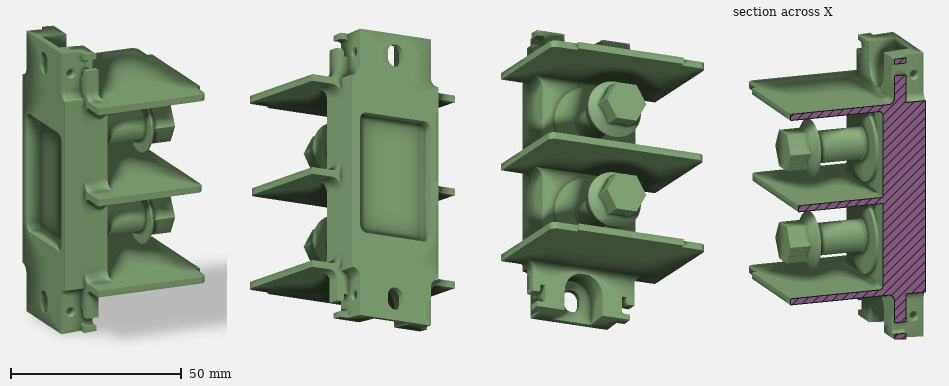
import cadquery as cq
import math


HALF_HEIGHT = 43.1
CENTRE_HALF_WIDTH = 15.1
END_HALF_WIDTH = 12.45
CENTRE_DEPTH = 13.6
END_DEPTH = 10.0
END_DRAFT_DROP = 0.55

PLATE_PITCH = 28.0
PLATE_THICKNESS = 2.0
PLATE_HALF_WIDTH = 25.0
PLATE_FRONT = 6.2
PLATE_SHOULDER = 41.0
PLATE_BACK = 42.5
TONGUE_HALF_WIDTH = 17.0
MIDDLE_PLATE_BACK = 40.0
PLATE_CORNER_RADIUS = 2.0
PLATE_HALF = PLATE_THICKNESS / 2
OUTER_PLATE_TOP = PLATE_PITCH + PLATE_HALF
OUTER_PLATE_BOTTOM = PLATE_PITCH - PLATE_HALF

INNER_ROOT_RADIUS = 3.0
OUTER_ROOT_RADIUS = 2.5
BACK_ROOT_RADIUS = 1.6
INNER_BACK_ROOT_RADIUS = 1.0

ARC_MIDDLE_INSET = 1 - math.sqrt(0.5)

HOOK_HALF_WIDTH = 16.5
HOOK_INNER_HALF_WIDTH = 14.0
HOOK_TOP = 38.0
HOOK_FLOOR = 35.75
HOOK_CHAMFER_X = 0.5
HOOK_CHAMFER_Z = 0.8
EAR_HALF_WIDTH = CENTRE_HALF_WIDTH
EAR_BOTTOM = 40.95
EAR_ROOT_RADIUS = 0.9

SLOT_WIDTH = 5.3
SLOT_LENGTH = 6.7
SLOT_Z = 36.6
RECESS_RADIUS = 6.15
RECESS_FLOOR = 2.0
SIDE_HOLE_Y = 3.0
SIDE_HOLE_MOUTH_RADIUS = 1.55
SIDE_HOLE_RADIUS = 0.9
SIDE_HOLE_CONE_DEPTH = 0.65
SIDE_HOLE_DEPTH = 3.0
WINDOW_HALF_WIDTH = 12.4
WINDOW_HALF_HEIGHT = 18.1
WINDOW_CORNER_RADIUS = 2.3
WINDOW_DEPTH = 4.0
WINDOW_FLOOR_RADIUS = 1.0
WINDOW_DRAFT = 5.0

BOLT_Z = 14.0
PAD_RADIUS = 11.5
PAD_BACK = 14.65
COLLAR_RADIUS = 5.0
COLLAR_BACK = 15.4
SHANK_RADIUS = 4.8
FLANGE_FRONT = 30.6
FLANGE_RIM_BACK = 31.2
FLANGE_RADIUS = 8.5
CONE_BACK = 33.4
HEAD_BACK = 39.35
HEAD_ACROSS_FLATS = 11.0
HEAD_CORE_RADIUS = 5.53


def box(x_min, x_max, y_min, y_max, z_min, z_max):
    solid = cq.Workplane("XY").box(x_max - x_min, y_max - y_min, z_max - z_min, centered=False)
    return solid.translate((x_min, y_min, z_min))


def front_prism(outline, y_min, y_max):
    """Close an outline drawn in X and Z and extrude it from y_min to y_max."""
    return outline.close().extrude(y_min - y_max).translate((0, y_min, 0))


def both_ends(shape):
    return shape.union(shape.mirror("XY"))


def both_sides(shape):
    return shape.union(shape.mirror("YZ"))


def flared_half(plane, start, edge, radius, height):
    """Outline from `start` to `edge`, `height` tall, its foot flaring outward by `radius`."""
    outline = cq.Workplane(plane).moveTo(start, 0).lineTo(edge + radius, 0)
    if radius > 0:
        arc_middle = radius * ARC_MIDDLE_INSET
        outline = outline.threePointArc((edge + arc_middle, arc_middle), (edge, radius))
    return outline.lineTo(edge, height).lineTo(start, height).close()


def root_block(half_width, side_radius, front, back, back_radius, height):
    """Block standing on Z = 0 whose sides and back flare into the surface below it."""
    from_front = both_sides(
        flared_half("XZ", 0, half_width, side_radius, height).extrude(-(back + back_radius))
    )
    reach = half_width + side_radius
    from_side = flared_half("YZ", front, back, back_radius, height).extrude(reach, both=True)
    return from_front.intersect(from_side)


def make_plate(z, back, shoulder):
    """Barrier plate centred on height z; its tongue, if any, reaches from shoulder to back."""
    bottom = z - PLATE_HALF
    top = z + PLATE_HALF
    plate = box(-PLATE_HALF_WIDTH, PLATE_HALF_WIDTH, PLATE_FRONT, shoulder, bottom, top)
    plate = plate.edges("|Z and >Y").fillet(PLATE_CORNER_RADIUS)
    if back > shoulder:
        plate = plate.union(
            box(-TONGUE_HALF_WIDTH, TONGUE_HALF_WIDTH, PLATE_FRONT, back, bottom, top)
        )
    return plate


def make_centre():
    """Wide middle stretch of the body with the three plates and their inner roots."""
    centre = box(-CENTRE_HALF_WIDTH, CENTRE_HALF_WIDTH, 0, CENTRE_DEPTH,
                 -OUTER_PLATE_BOTTOM, OUTER_PLATE_BOTTOM)
    front_bar = box(-CENTRE_HALF_WIDTH, CENTRE_HALF_WIDTH, 0, PLATE_FRONT,
                    -OUTER_PLATE_TOP, OUTER_PLATE_TOP)
    outer_plate = make_plate(PLATE_PITCH, PLATE_BACK, PLATE_SHOULDER)
    outer_root = root_block(
        CENTRE_HALF_WIDTH, INNER_ROOT_RADIUS, PLATE_FRONT, CENTRE_DEPTH,
        INNER_BACK_ROOT_RADIUS, PLATE_PITCH / 2,
    ).mirror("XY").translate((0, 0, OUTER_PLATE_BOTTOM))
    middle_plate = make_plate(0, MIDDLE_PLATE_BACK, MIDDLE_PLATE_BACK)
    middle_root = root_block(
        CENTRE_HALF_WIDTH, INNER_ROOT_RADIUS, PLATE_FRONT, CENTRE_DEPTH, 0, PLATE_PITCH / 2,
    ).translate((0, 0, PLATE_HALF))
    repeated = both_ends(outer_plate.union(outer_root).union(middle_root))
    return centre.union(front_bar).union(middle_plate).union(repeated)


def make_hook():
    """Finger standing at the +X side of the upper hook floor, its inner top corner chamfered."""
    outline = (
        cq.Workplane("XZ")
        .moveTo(HOOK_INNER_HALF_WIDTH, HOOK_FLOOR)
        .lineTo(HOOK_HALF_WIDTH, HOOK_FLOOR)
        .lineTo(HOOK_HALF_WIDTH, HOOK_TOP)
        .lineTo(HOOK_INNER_HALF_WIDTH + HOOK_CHAMFER_X, HOOK_TOP)
        .lineTo(HOOK_INNER_HALF_WIDTH, HOOK_TOP - HOOK_CHAMFER_Z)
    )
    return front_prism(outline, PLATE_FRONT, END_DEPTH)


def make_ear():
    """Ear at the +X side of the upper end, with a fillet below it at the body side."""
    root_arc_middle = EAR_ROOT_RADIUS * ARC_MIDDLE_INSET
    outline = (
        cq.Workplane("XZ")
        .moveTo(END_HALF_WIDTH, EAR_BOTTOM - EAR_ROOT_RADIUS)
        .threePointArc(
            (END_HALF_WIDTH + root_arc_middle, EAR_BOTTOM - root_arc_middle),
            (END_HALF_WIDTH + EAR_ROOT_RADIUS, EAR_BOTTOM),
        )
        .lineTo(EAR_HALF_WIDTH, EAR_BOTTOM)
        .lineTo(EAR_HALF_WIDTH, HALF_HEIGHT)
        .lineTo(END_HALF_WIDTH, HALF_HEIGHT)
    )
    return front_prism(outline, PLATE_FRONT, END_DEPTH)


def make_end():
    """Upper narrow end of the body, with its hooks, ears and leaning end face."""
    height = HALF_HEIGHT - OUTER_PLATE_TOP
    front = root_block(END_HALF_WIDTH, OUTER_ROOT_RADIUS, 0, PLATE_FRONT, 0, height)
    back = box(-END_HALF_WIDTH, END_HALF_WIDTH, PLATE_FRONT, END_DEPTH, 0, height)
    hook_base = root_block(
        HOOK_HALF_WIDTH, OUTER_ROOT_RADIUS, PLATE_FRONT, END_DEPTH, BACK_ROOT_RADIUS,
        HOOK_FLOOR - OUTER_PLATE_TOP,
    )
    end = front.union(back).union(hook_base).translate((0, 0, OUTER_PLATE_TOP))
    end = end.union(both_sides(make_hook().union(make_ear())))
    lean = (
        cq.Workplane("YZ")
        .moveTo(0, HALF_HEIGHT)
        .lineTo(END_DEPTH, HALF_HEIGHT)
        .lineTo(END_DEPTH, HALF_HEIGHT - END_DRAFT_DROP)
        .close()
        .extrude(EAR_HALF_WIDTH, both=True)
    )
    return end.cut(lean)


def make_end_openings():
    """Cutters for the upper end: mounting slot, recess behind it and the two side holes."""
    slot = (
        cq.Workplane("XZ")
        .center(0, SLOT_Z)
        .slot2D(SLOT_LENGTH, SLOT_WIDTH, 90)
        .extrude(-END_DEPTH)
    )
    recess_round = cq.Workplane("XZ").center(0, SLOT_Z).circle(RECESS_RADIUS).extrude(-END_DEPTH)
    recess = recess_round.union(
        box(-RECESS_RADIUS, RECESS_RADIUS, 0, END_DEPTH, SLOT_Z, HALF_HEIGHT)
    ).intersect(
        box(-RECESS_RADIUS, RECESS_RADIUS, RECESS_FLOOR, END_DEPTH, OUTER_PLATE_TOP, HALF_HEIGHT)
    )
    side_hole = (
        cq.Workplane("XY")
        .lineTo(SIDE_HOLE_MOUTH_RADIUS, 0)
        .lineTo(SIDE_HOLE_RADIUS, SIDE_HOLE_CONE_DEPTH)
        .lineTo(SIDE_HOLE_RADIUS, SIDE_HOLE_DEPTH)
        .lineTo(0, SIDE_HOLE_DEPTH)
        .close()
        .revolve(360, (0, 0, 0), (0, 1, 0))
        .rotate((0, 0, 0), (0, 0, 1), 90)
        .translate((END_HALF_WIDTH, SIDE_HOLE_Y, SLOT_Z))
    )
    return slot.union(recess).union(both_sides(side_hole))


def make_window():
    """Cutter for the blind window in the front face, tapering to a rounded floor."""
    return (
        cq.Workplane("XZ")
        .sketch()
        .rect(2 * WINDOW_HALF_WIDTH, 2 * WINDOW_HALF_HEIGHT)
        .vertices()
        .fillet(WINDOW_CORNER_RADIUS)
        .finalize()
        .extrude(-WINDOW_DEPTH, taper=WINDOW_DRAFT)
        .faces(">Y")
        .edges()
        .fillet(WINDOW_FLOOR_RADIUS)
    )


def make_bolt():
    """Upper terminal bolt: pad, collar, shank, conical flange and hexagon head."""
    turned = (
        cq.Workplane("XY")
        .moveTo(0, CENTRE_DEPTH)
        .lineTo(PAD_RADIUS, CENTRE_DEPTH)
        .lineTo(PAD_RADIUS, PAD_BACK)
        .lineTo(COLLAR_RADIUS, PAD_BACK)
        .lineTo(COLLAR_RADIUS, COLLAR_BACK)
        .lineTo(SHANK_RADIUS, COLLAR_BACK)
        .lineTo(SHANK_RADIUS, FLANGE_FRONT)
        .lineTo(FLANGE_RADIUS, FLANGE_FRONT)
        .lineTo(FLANGE_RADIUS, FLANGE_RIM_BACK)
        .lineTo(HEAD_CORE_RADIUS, CONE_BACK)
        .lineTo(HEAD_CORE_RADIUS, HEAD_BACK)
        .lineTo(0, HEAD_BACK)
        .close()
        .revolve(360, (0, 0, 0), (0, 1, 0))
    )
    across_corners = HEAD_ACROSS_FLATS / math.cos(math.radians(30))
    hexagon = (
        cq.Workplane("XZ")
        .polygon(6, across_corners)
        .extrude(FLANGE_RIM_BACK - HEAD_BACK)
        .translate((0, FLANGE_RIM_BACK, 0))
    )
    return turned.union(hexagon).translate((0, 0, BOLT_Z))


result = make_centre().union(both_ends(make_end()))
result = result.cut(both_ends(make_end_openings())).cut(make_window())
result = result.union(both_ends(make_bolt()))